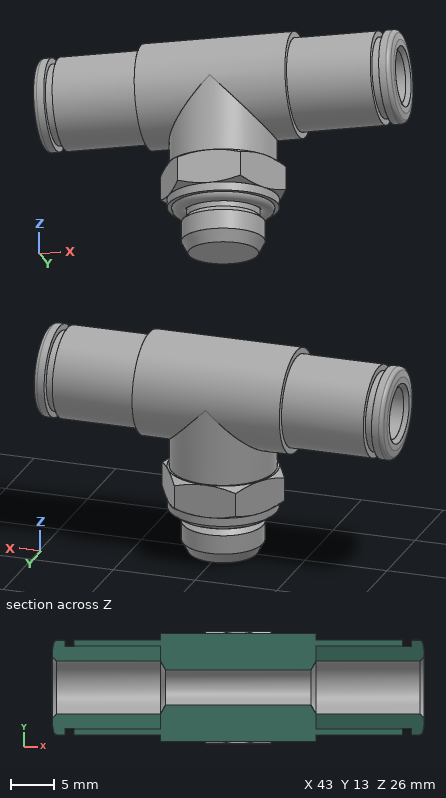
import cadquery as cq
import math


run_dia = 12.5
run_length = 18.0
socket_dia = 11.0
socket_end = 19.0
through_bore_dia = 4.0
bore_cone_angle = 30.0

collet_end = 21.5
collet_flange_dia = socket_dia
collet_gap = 1.0
collet_neck_dia = 9.5
collet_seat = run_length / 2
tube_dia = 6.1
tube_lead_in = 0.5
collet_face_dia = 8.6
collet_round = 0.5
collet_face_slope = math.radians(10.0)

hex_across_flats = 13.0
hex_top = -9.2
hex_height = 4.0
hex_chamfer_slope = math.radians(30.0)
flange_dia = hex_across_flats
flange_height = 1.0
thread_dia = 9.73
thread_length = 5.5
relief_dia = 8.5
relief_end_drop = 1.2
tip_dia = 8.2
tip_chamfer_height = 1.4

ring_outer_dia = 11.95
ring_section_dia = 1.7
ring_drop = 0.8

hex_bottom = hex_top - hex_height
flange_face = hex_bottom - flange_height
stud_tip = flange_face - thread_length


def run_cylinder(diameter, half_length):
    """Cylinder along X, centred on the branch axis."""
    return cq.Workplane("YZ").circle(diameter / 2).extrude(half_length, both=True)


def bore_entry_cone():
    """Cone at the -X socket floor, narrowing from the tube bore to the through bore."""
    tube_radius = tube_dia / 2
    bore_radius = through_bore_dia / 2
    depth = (tube_radius - bore_radius) * math.tan(math.radians(bore_cone_angle))
    profile = (
        cq.Workplane("XZ")
        .moveTo(-collet_seat, 0)
        .lineTo(-collet_seat, tube_radius)
        .lineTo(-collet_seat + depth, bore_radius)
        .lineTo(-collet_seat + depth, 0)
        .close()
    )
    return profile.revolve(360, (0, 0, 0), (1, 0, 0))


def make_tee_body():
    """Run with a stepped-down socket at each end and a branch of the same diameter as the run."""
    branch = cq.Workplane("XY").circle(run_dia / 2).extrude(hex_top)
    body = run_cylinder(run_dia, run_length / 2).union(branch)
    body = body.union(run_cylinder(socket_dia, socket_end))
    body = body.cut(run_cylinder(through_bore_dia, socket_end))
    neck_pocket = (
        cq.Workplane("YZ", origin=(-socket_end, 0, 0))
        .circle(collet_neck_dia / 2)
        .extrude(socket_end - collet_seat)
    )
    for side_cut in (neck_pocket, bore_entry_cone()):
        body = body.cut(side_cut).cut(side_cut.mirror("YZ"))
    return body


def make_collet():
    """Release collet on the -X side: rounded flange, neck in the socket and a tube bore."""
    flange_radius = collet_flange_dia / 2
    neck_radius = collet_neck_dia / 2
    tube_radius = tube_dia / 2
    face_radius = collet_face_dia / 2
    flange_back = -socket_end - collet_gap

    round_centre_radius = flange_radius - collet_round
    slope_radius = round_centre_radius + collet_round * math.sin(collet_face_slope)
    slope_x = -collet_end + (slope_radius - face_radius) * math.tan(collet_face_slope)
    round_centre_x = slope_x + collet_round * math.cos(collet_face_slope)
    middle_angle = (math.pi / 2 + collet_face_slope) / 2
    round_middle = (
        round_centre_x - collet_round * math.cos(middle_angle),
        round_centre_radius + collet_round * math.sin(middle_angle),
    )

    profile = (
        cq.Workplane("XZ")
        .moveTo(-collet_seat, tube_radius)
        .lineTo(-collet_end + tube_lead_in, tube_radius)
        .lineTo(-collet_end, tube_radius + tube_lead_in)
        .lineTo(-collet_end, face_radius)
        .lineTo(slope_x, slope_radius)
        .threePointArc(round_middle, (round_centre_x, flange_radius))
        .lineTo(flange_back, flange_radius)
        .lineTo(flange_back, neck_radius)
        .lineTo(-collet_seat, neck_radius)
        .close()
    )
    return profile.revolve(360, (0, 0, 0), (1, 0, 0))


def make_o_ring():
    """O-ring of round section, its upper half lying in the flange."""
    section_centre = (ring_outer_dia - ring_section_dia) / 2
    section_level = flange_face - ring_drop + ring_section_dia / 2
    section = cq.Workplane("XZ").center(section_centre, section_level).circle(ring_section_dia / 2)
    return section.revolve(360, (-section_centre, 0, 0), (-section_centre, 1, 0))


def make_hex():
    """Hexagon with flats facing +Y and -Y, its corners chamfered at both ends."""
    flat_radius = hex_across_flats / 2
    corner_radius = flat_radius / math.cos(math.pi / 6)
    corner_drop = (corner_radius - flat_radius) * math.tan(hex_chamfer_slope)
    prism = (
        cq.Workplane("XY", origin=(0, 0, hex_bottom))
        .polygon(6, 2 * corner_radius)
        .extrude(hex_height)
    )
    chamfer_envelope = (
        cq.Workplane("XZ")
        .moveTo(0, hex_top)
        .lineTo(flat_radius, hex_top)
        .lineTo(corner_radius, hex_top - corner_drop)
        .lineTo(corner_radius, hex_bottom + corner_drop)
        .lineTo(flat_radius, hex_bottom)
        .lineTo(0, hex_bottom)
        .close()
        .revolve(360, (0, 0, 0), (0, 1, 0))
    )
    return prism.intersect(chamfer_envelope)


def make_stud(o_ring):
    """Hex, sealing flange with the O-ring groove, thread relief and threaded end."""
    relief_radius = relief_dia / 2
    thread_radius = thread_dia / 2
    relief_end = flange_face - relief_end_drop
    thread_start = relief_end - (thread_radius - relief_radius)
    turned_end = (
        cq.Workplane("XZ")
        .moveTo(0, hex_bottom)
        .lineTo(flange_dia / 2, hex_bottom)
        .lineTo(flange_dia / 2, flange_face)
        .lineTo(relief_radius, flange_face)
        .lineTo(relief_radius, relief_end)
        .lineTo(thread_radius, thread_start)
        .lineTo(thread_radius, stud_tip + tip_chamfer_height)
        .lineTo(tip_dia / 2, stud_tip)
        .lineTo(0, stud_tip)
        .close()
        .revolve(360, (0, 0, 0), (0, 1, 0))
    )
    return make_hex().union(turned_end).cut(o_ring)


tee_body = make_tee_body()
left_collet = make_collet()
collets = [left_collet, left_collet.mirror("YZ")]
o_ring = make_o_ring()
stud = make_stud(o_ring)

result = cq.Compound.makeCompound(
    [tee_body.solids().val(), stud.solids().val(), o_ring.val(), *[collet.val() for collet in collets]]
)